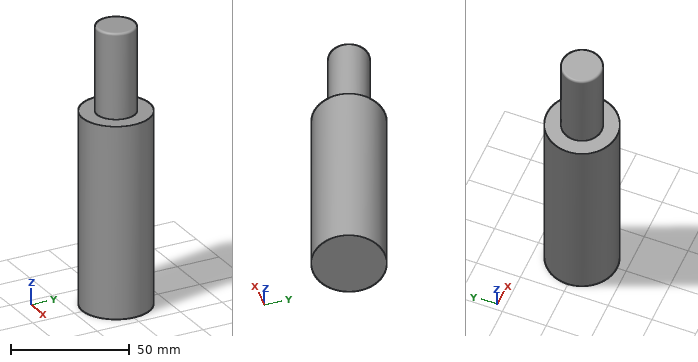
import cadquery as cq

total_length = 130.0
body_length = 90.0
body_diameter = 32.0
pin_diameter = 18.0
tip_radius = 1.0

pin_length = total_length - body_length

body = cq.Workplane("XY").circle(body_diameter / 2).extrude(body_length)

pin = (
    cq.Workplane("XY")
    .workplane(offset=body_length)
    .circle(pin_diameter / 2)
    .extrude(pin_length)
    .edges(">Z")
    .fillet(tip_radius)
)

result = body.union(pin)